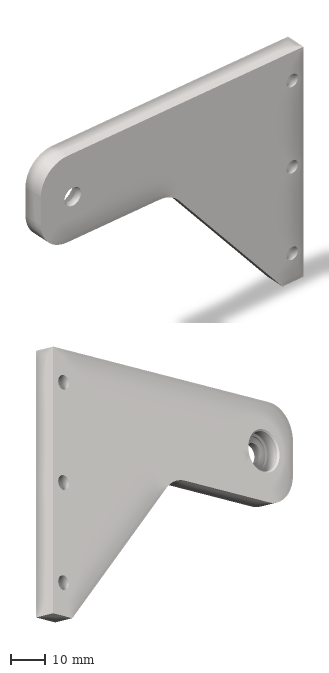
import cadquery as cq

thickness = 7.0
length = 99.5
height = 80.0
arm_height = 30.0
foot_width = 8.0
arm_root = 50.0
corner_radius = 9.95

mount_diameter = 4.4
mount_inset = 4.3
mount_spacing = 30.0
mount_count = 3

seat_inset = 12.0
seat_diameter = 11.9
seat_depth = 4.0
seat_chamfer = 0.5
relief_diameter = 10.0
relief_depth = 0.5
shaft_diameter = 6.3

mount_edge = length
top = height
arm_bottom = height - arm_height
seat_z = height - arm_height / 2


def make_plate():
    """Bracket outline in the YZ plane, extruded along +X."""
    inner_corner = (mount_edge - arm_root, arm_bottom)
    outline = [
        (mount_edge, 0),
        (mount_edge, top),
        (0, top),
        (0, arm_bottom),
        inner_corner,
        (mount_edge - foot_width, 0),
    ]
    plate = cq.Workplane("YZ").polyline(outline).close().extrude(thickness)
    rounded = [(0, top), (0, arm_bottom), inner_corner]
    for y, z in rounded:
        edge = cq.selectors.NearestToPointSelector((thickness / 2, y, z))
        plate = plate.edges("|X").edges(edge).fillet(corner_radius)
    return plate


def bore(y, z, diameter, depth):
    """Cylinder cutting from the -X face to the given depth."""
    return cq.Workplane("YZ").center(y, z).circle(diameter / 2).extrude(depth)


def cut_mount_holes(plate):
    for i in range(mount_count):
        z = height / 2 + (i - (mount_count - 1) / 2) * mount_spacing
        plate = plate.cut(bore(mount_edge - mount_inset, z, mount_diameter, thickness))
    return plate


def cut_bearing_seat(plate):
    steps = [
        (seat_diameter, seat_depth),
        (relief_diameter, seat_depth + relief_depth),
        (shaft_diameter, thickness),
    ]
    for diameter, depth in steps:
        plate = plate.cut(bore(seat_inset, seat_z, diameter, depth))
    mouth_radius = seat_diameter / 2 + seat_chamfer
    lead_in = cq.Solid.makeCone(
        mouth_radius,
        seat_diameter / 2,
        seat_chamfer,
        pnt=cq.Vector(0, seat_inset, seat_z),
        dir=cq.Vector(1, 0, 0),
    )
    return plate.cut(lead_in)


result = cut_bearing_seat(cut_mount_holes(make_plate()))